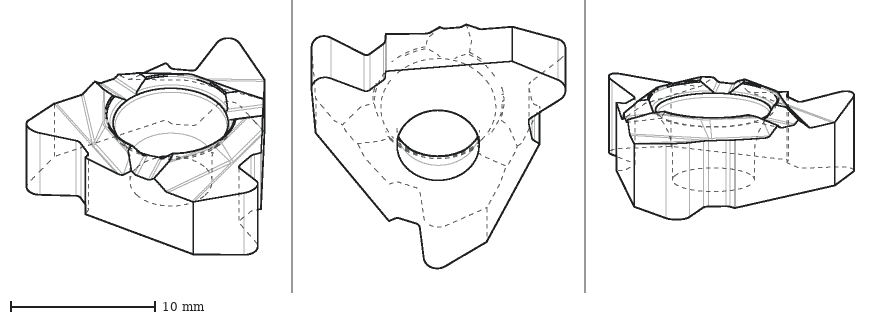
import cadquery as cq
import math

ARM_COUNT = 3
ARM_STEP = 360 / ARM_COUNT

TOP_Z = 5.84
FLOOR_Z = 4.57
GROOVE_Z = 5.05

CLEARANCE = 0.88
PICK_SIZE = 0.09
TOLERANCE = 0.0002

SIDE_DIST = 6.35
TIP_X = -3.75
TIP_REACH = 9.21
TIP_RADIUS = 0.95
FLANK_ANGLE = 59.3
NOTCH_RADIUS = 0.39
NOTCH_ROOT = (-1.51, -6.4)
NOTCH_HEEL = (0.12, -6.54)
HEEL_END_RADIUS = 0.05
HEEL_ANGLE = 51.0

RAKE_START = 5.68
RAKE_ANGLE = 15.0
RAKE_BLEND = 0.6

FOOT_CORNERS = [(-0.98, -5.54), (3.2, -5.54), (6.61, -5.96)]
CREST_CORNERS = [(-1.27, -4.65), (2.7, -4.65), (4.75, -4.9)]
FOOT_ROUND = 0.53
CREST_ROUND = 1.32
FOOT_BLEND = 0.21
CREST_BLEND = 0.12

GROOVE_ANGLE = 194.0
GROOVE_FLOOR_WIDTH = 1.1
GROOVE_TOP_WIDTH = 3.06
GROOVE_BLEND = 0.32

BORE_RADIUS = 2.85
FLARE_RADIUS = 3.89
FLARE_START_Z = 2.02
RIM_WIDTH = 0.1
RIM_DEPTH = 0.25
RECESS_FLOOR_RADIUS = 4.2
RECESS_TOP_RADIUS = 4.47
RECESS_FLOOR_BLEND = 0.18
RECESS_TOP_BLEND = 0.12


def turned(point, angle):
    """Turn a point about the hole axis, counter-clockwise in degrees."""
    c = math.cos(math.radians(angle))
    s = math.sin(math.radians(angle))
    return (point[0] * c - point[1] * s, point[0] * s + point[1] * c)


def around(points):
    """Repeat the points of one arm for all arms, counter-clockwise."""
    return [turned(p, k * ARM_STEP) for k in range(ARM_COUNT) for p in points]


def corner_fillet(solid, corner, radius):
    """Round the vertical edges at one outline corner of every arm."""
    for x, y in around([corner]):
        low = (x - PICK_SIZE, y - PICK_SIZE, -CLEARANCE)
        high = (x + PICK_SIZE, y + PICK_SIZE, TOP_Z + CLEARANCE)
        box = cq.selectors.BoxSelector(low, high)
        solid = solid.edges("|Z").edges(box).fillet(radius)
    return solid


def make_outline_prism():
    """Upright body with the full plan outline: three flat sides and three teeth."""
    slope = math.tan(math.radians(FLANK_ANGLE))
    half_tip = math.radians(90 - FLANK_ANGLE)
    apex = (TIP_X, -TIP_REACH - TIP_RADIUS * (1 / math.sin(half_tip) - 1))
    shoulder = (-SIDE_DIST, apex[1] + slope * (TIP_X + SIDE_DIST))
    side_x, side_y = turned((-1, 0), ARM_STEP)
    fall = turned((1, 0), -HEEL_ANGLE)
    gap = SIDE_DIST - (NOTCH_HEEL[0] * side_x + NOTCH_HEEL[1] * side_y)
    run = gap / (fall[0] * side_x + fall[1] * side_y)
    heel_end = (NOTCH_HEEL[0] + run * fall[0], NOTCH_HEEL[1] + run * fall[1])
    corners = around([shoulder, apex, NOTCH_ROOT, NOTCH_HEEL, heel_end])
    prism = cq.Workplane("XY").polyline(corners).close().extrude(TOP_Z)
    prism = corner_fillet(prism, apex, TIP_RADIUS)
    prism = corner_fillet(prism, NOTCH_ROOT, NOTCH_RADIUS)
    prism = corner_fillet(prism, NOTCH_HEEL, NOTCH_RADIUS)
    return corner_fillet(prism, heel_end, HEEL_END_RADIUS)


def make_lower_body():
    """Flat chip floor with a rake face rising along each tooth."""
    reach = 2 * SIDE_DIST
    slope = math.radians(RAKE_ANGLE)
    setback = RAKE_BLEND * math.tan(slope / 2)
    blend_start = (-RAKE_START + setback, FLOOR_Z)
    blend_end = (-RAKE_START - setback * math.cos(slope), FLOOR_Z + setback * math.sin(slope))
    far_z = FLOOR_Z + math.tan(slope) * (reach - RAKE_START)
    wedge = (
        cq.Workplane("YZ")
        .moveTo(blend_start[0], 0)
        .lineTo(*blend_start)
        .radiusArc(blend_end, RAKE_BLEND)
        .lineTo(-reach, far_z)
        .lineTo(-reach, 0)
        .close()
        .extrude(reach, both=True)
    )
    body = cq.Workplane("XY").circle(reach).extrude(FLOOR_Z)
    for k in range(ARM_COUNT):
        body = body.union(wedge.rotate((0, 0, 0), (0, 0, 1), k * ARM_STEP))
    return body


def corner_arc(before, corner, after, radius):
    """Start, middle and end of the arc that rounds a corner of an outline."""
    tip = cq.Vector(*corner)
    leg_in = (cq.Vector(*before) - tip).normalized()
    leg_out = (cq.Vector(*after) - tip).normalized()
    half_angle = leg_in.getAngle(leg_out) / 2
    setback = radius / math.tan(half_angle)
    depth = radius / math.sin(half_angle) - radius
    start = tip + leg_in * setback
    middle = tip + (leg_in + leg_out).normalized() * depth
    end = tip + leg_out * setback
    return [(p.x, p.y) for p in (start, middle, end)]


def island_section(corners, radius, z):
    """Closed outline of the island with the first corner of every arm rounded."""
    last = turned(corners[-1], -ARM_STEP)
    start, middle, end = corner_arc(last, corners[0], corners[1], radius)
    section = cq.Workplane("XY", origin=(0, 0, z)).moveTo(*start)
    for k in range(ARM_COUNT):
        turn = k * ARM_STEP
        section = section.threePointArc(turned(middle, turn), turned(end, turn))
        for corner in corners[1:]:
            section = section.lineTo(*turned(corner, turn))
        if k < ARM_COUNT - 1:
            section = section.lineTo(*turned(start, turn + ARM_STEP))
    return section.close().val()


def make_island():
    """Raised centre with slanted walls and a rounded crest."""
    foot = island_section(FOOT_CORNERS, FOOT_ROUND, FLOOR_Z)
    crest = island_section(CREST_CORNERS, CREST_ROUND, TOP_Z)
    island = cq.Workplane(cq.Solid.makeLoft([foot, crest], True))
    return island.faces(">Z").edges().fillet(CREST_BLEND)


def blend_foot(solid):
    """Round the long inner corner between the chip floor and the slanted wall."""
    last, first = turned(FOOT_CORNERS[-1], -ARM_STEP), FOOT_CORNERS[0]
    middle = ((last[0] + first[0]) / 2, (last[1] + first[1]) / 2)
    for near_x, near_y in around([middle]):
        nearest = cq.selectors.NearestToPointSelector((near_x, near_y, FLOOR_Z))
        solid = solid.edges(nearest).fillet(FOOT_BLEND)
    return solid


def make_groove():
    """Trapezoidal cutter running outwards from the hole axis along +X."""
    rise = TOP_Z - GROOVE_Z
    spread = (GROOVE_TOP_WIDTH - GROOVE_FLOOR_WIDTH) / 2 / rise
    half_floor = GROOVE_FLOOR_WIDTH / 2
    half_open = half_floor + spread * (rise + CLEARANCE)
    open_z = TOP_Z + CLEARANCE
    profile = [
        (-half_floor, GROOVE_Z),
        (half_floor, GROOVE_Z),
        (half_open, open_z),
        (-half_open, open_z),
    ]
    groove = cq.Workplane("YZ").polyline(profile).close().extrude(2 * SIDE_DIST)
    return groove.edges("<Z and |X").fillet(GROOVE_BLEND)


def make_hole():
    """Revolved cutter for the bore, its flared seat and the recess."""
    drop = GROOVE_Z - RIM_DEPTH - FLARE_START_Z
    widen = FLARE_RADIUS - BORE_RADIUS
    flare_arc = (drop**2 + widen**2) / (2 * widen)
    return (
        cq.Workplane("XZ")
        .moveTo(0, -CLEARANCE)
        .lineTo(BORE_RADIUS, -CLEARANCE)
        .lineTo(BORE_RADIUS, FLARE_START_Z)
        .radiusArc((FLARE_RADIUS, GROOVE_Z - RIM_DEPTH), flare_arc)
        .lineTo(FLARE_RADIUS + RIM_WIDTH, GROOVE_Z)
        .lineTo(RECESS_FLOOR_RADIUS, GROOVE_Z)
        .lineTo(RECESS_TOP_RADIUS, TOP_Z)
        .lineTo(0, TOP_Z)
        .close()
        .revolve(360, (0, 0, 0), (0, 1, 0))
    )


def circle_at(solid, radius, z):
    """Select the full circular edge of the given radius, centred on the hole axis."""
    def matches(edge):
        same_radius = abs(edge.radius() - radius) < TOLERANCE
        same_height = abs(edge.Center().z - z) < TOLERANCE
        return edge.IsClosed() and same_radius and same_height

    return solid.edges("%CIRCLE").filter(matches)


body = blend_foot(make_lower_body().union(make_island()))
result = make_outline_prism().intersect(body).cut(make_hole())
result = circle_at(result, RECESS_FLOOR_RADIUS, GROOVE_Z).fillet(RECESS_FLOOR_BLEND)
result = circle_at(result, RECESS_TOP_RADIUS, TOP_Z).fillet(RECESS_TOP_BLEND)
groove = make_groove()
for k in range(ARM_COUNT):
    result = result.cut(groove.rotate((0, 0, 0), (0, 0, 1), GROOVE_ANGLE + k * ARM_STEP))